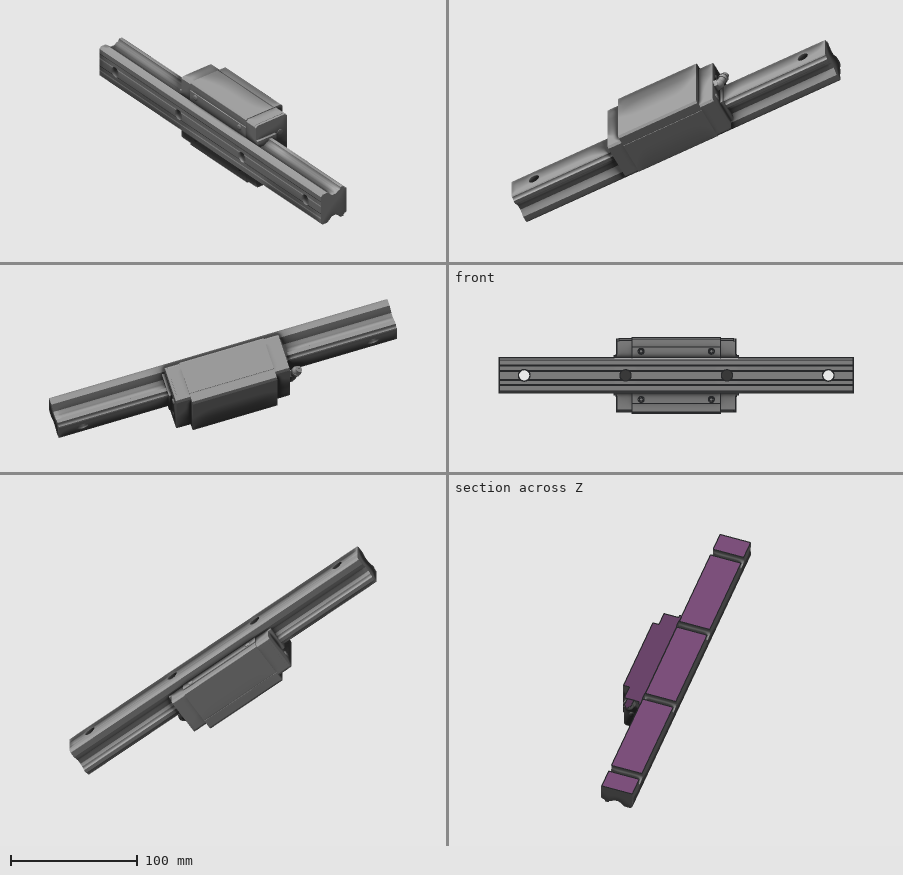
import cadquery as cq
import math


RAIL_LENGTH = 280.0
RAIL_HALF_WIDTH = 14.0
RAIL_HEIGHT = 26.0
BASE_CHAMFER = 1.7
BASE_SIDE_TOP = 6.5
NECK_BOTTOM = 11.2
NECK_TOP = 15.0
NECK_HALF_WIDTH = 9.8
RACEWAY_RADIUS = 2.5
LAND_BOTTOM = 20.0
LAND_TOP = 22.7
CROWN_CHAMFER = 0.7
HOLE_DIAMETER = 9.0
HOLE_PITCH = 80.0
HOLE_COUNT = 4
GROOVE_CENTER = 5.5
GROOVE_MOUTH = 5.0
GROOVE_FLOOR = 3.5
GROOVE_DEPTH = 0.3

BLOCK_LENGTH = 70.0
BLOCK_HALF_WIDTH = 30.0
BLOCK_TOP = 45.0
BLOCK_BOTTOM = 8.5
BLOCK_TOP_CHAMFER = 1.7
BLOCK_BOTTOM_CHAMFER = 1.0
SIDE_GROOVE_Y = 36.0
SIDE_GROOVE_WIDTH = 0.8
SIDE_GROOVE_DEPTH = 0.5
PAD_HALF_WIDTH = 22.5
PAD_BOTTOM = 7.5

CAP_END = 45.0
PLATE_END = 47.0
SEAL_END = 49.3
CAP_HALF_WIDTH = 29.0
CAP_TOP = 40.0
CAP_BOTTOM = 8.7
CAP_CHAMFER = 1.7
PLATE_INSET = 0.3
SEAL_HALF_WIDTH = 15.7
SEAL_TOP = 27.7

PAD_SCREW_X = 27.7
PAD_SCREW_Z = 19.0
PAD_SCREW_DIAMETER = 4.8
PAD_SCREW_HEIGHT = 0.8
END_SCREW_Y = 33.0
END_SCREW_Z = 14.0
END_SCREW_DIAMETER = 5.3
END_SCREW_HEIGHT = 0.8
SCREW_BEVEL_HEIGHT = 0.42
SCREW_BEVEL_WIDTH = 0.98

NIPPLE_Y = 34.7
NIPPLE_HEX_ACROSS_CORNERS = 9.8
NIPPLE_HEX_HEIGHT = 3.0
NIPPLE_TILT = 60.0
NIPPLE_ELBOW_RADIUS = 4.0
NIPPLE_STEM_RADIUS = 3.0
NIPPLE_COLLAR_RADIUS = 4.0
NIPPLE_COLLAR_START = 5.5
NIPPLE_COLLAR_END = 7.5
NIPPLE_CONE_START = 8.7
NIPPLE_CONE_END = 11.0
NIPPLE_TIP_RADIUS = 2.8
NIPPLE_LENGTH = 11.8
NIPPLE_PORT_DIAMETER = 2.0
NIPPLE_PORT_DEPTH = 0.8


def extrude_along_x(outline, length):
    """Extrude a closed YZ outline symmetrically about the middle of the guide."""
    return outline.extrude(length / 2, both=True)


def chamfered_box(length, half_width, bottom, top, bottom_chamfer, top_chamfer):
    """Box along X, centred on X and Z, with its long edges chamfered."""
    box = cq.Workplane("XY").box(length, top - bottom, 2 * half_width)
    box = box.translate((0, (top + bottom) / 2, 0))
    if bottom_chamfer:
        box = box.edges("|X and <Y").chamfer(bottom_chamfer)
    if top_chamfer:
        box = box.edges("|X and >Y").chamfer(top_chamfer)
    return box


def rail_profile():
    """Rail section: two concave raceways on each side above a waisted neck."""
    shoulder = RAIL_HALF_WIDTH - RACEWAY_RADIUS
    arc_offset = RACEWAY_RADIUS * math.sqrt(0.5)
    lower_arc_start = LAND_BOTTOM - RACEWAY_RADIUS
    upper_arc_end = LAND_TOP + RACEWAY_RADIUS
    return (
        cq.Workplane("YZ")
        .moveTo(0, 0)
        .lineTo(0, RAIL_HALF_WIDTH - BASE_CHAMFER)
        .lineTo(BASE_CHAMFER, RAIL_HALF_WIDTH)
        .lineTo(BASE_SIDE_TOP, RAIL_HALF_WIDTH)
        .lineTo(NECK_BOTTOM, NECK_HALF_WIDTH)
        .lineTo(NECK_TOP, NECK_HALF_WIDTH)
        .lineTo(lower_arc_start, shoulder)
        .threePointArc(
            (lower_arc_start + arc_offset, RAIL_HALF_WIDTH - arc_offset),
            (LAND_BOTTOM, RAIL_HALF_WIDTH),
        )
        .lineTo(LAND_TOP, RAIL_HALF_WIDTH)
        .threePointArc(
            (upper_arc_end - arc_offset, RAIL_HALF_WIDTH - arc_offset),
            (upper_arc_end, shoulder),
        )
        .lineTo(RAIL_HEIGHT - CROWN_CHAMFER, shoulder)
        .lineTo(RAIL_HEIGHT, shoulder - CROWN_CHAMFER)
        .lineTo(RAIL_HEIGHT, 0)
        .mirrorX()
    )


def rail_blank():
    """Rail before its holes and grooves are cut."""
    return extrude_along_x(rail_profile(), RAIL_LENGTH)


def base_groove(side):
    """Shallow tapered groove along the mounting face, on one side of the hole row."""
    center = side * GROOVE_CENTER
    outline = cq.Workplane("YZ").polyline(
        [
            (0, center - GROOVE_MOUTH / 2),
            (GROOVE_DEPTH, center - GROOVE_FLOOR / 2),
            (GROOVE_DEPTH, center + GROOVE_FLOOR / 2),
            (0, center + GROOVE_MOUTH / 2),
        ]
    ).close()
    return extrude_along_x(outline, RAIL_LENGTH)


def make_rail():
    rail = rail_blank()
    for side in (-1, 1):
        rail = rail.cut(base_groove(side))
    holes = (
        cq.Workplane("XZ")
        .rarray(HOLE_PITCH, 2.8, HOLE_COUNT, 1)
        .circle(HOLE_DIAMETER / 2)
        .extrude(-RAIL_HEIGHT)
    )
    return rail.cut(holes)


def screw_head(diameter, height):
    """Flat-topped screw head standing on Z = 0, bevelled around its top."""
    head = cq.Workplane("XY").circle(diameter / 2).extrude(height)
    return head.faces(">Z").chamfer(SCREW_BEVEL_HEIGHT, SCREW_BEVEL_WIDTH)


def carriage_block():
    """Steel block with a fine groove along each flank and a raised pad along its underside."""
    block = chamfered_box(
        BLOCK_LENGTH, BLOCK_HALF_WIDTH,
        BLOCK_BOTTOM, BLOCK_TOP, BLOCK_BOTTOM_CHAMFER, BLOCK_TOP_CHAMFER,
    )
    groove = cq.Workplane("XY").box(BLOCK_LENGTH, SIDE_GROOVE_WIDTH, 2 * SIDE_GROOVE_DEPTH)
    for side in (-1, 1):
        block = block.cut(groove.translate((0, SIDE_GROOVE_Y, side * BLOCK_HALF_WIDTH)))
    pad = chamfered_box(BLOCK_LENGTH, PAD_HALF_WIDTH, PAD_BOTTOM, BLOCK_BOTTOM, 0, 0)
    return block.union(pad)


def carriage_ends():
    """End caps, the slightly narrower plates on them and the seals around the rail."""
    caps = chamfered_box(
        2 * CAP_END, CAP_HALF_WIDTH, CAP_BOTTOM, CAP_TOP, CAP_CHAMFER, CAP_CHAMFER
    )
    plates = chamfered_box(
        2 * PLATE_END, CAP_HALF_WIDTH - PLATE_INSET,
        CAP_BOTTOM, CAP_TOP, CAP_CHAMFER, CAP_CHAMFER,
    )
    seals = chamfered_box(2 * SEAL_END, SEAL_HALF_WIDTH, CAP_BOTTOM, SEAL_TOP, 0, 0)
    return caps.union(plates).union(seals)


def make_carriage():
    carriage = carriage_block().union(carriage_ends())

    pad_head = screw_head(PAD_SCREW_DIAMETER, PAD_SCREW_HEIGHT)
    pad_head = pad_head.rotate((0, 0, 0), (1, 0, 0), 90)
    end_head = screw_head(END_SCREW_DIAMETER, END_SCREW_HEIGHT)
    for end in (-1, 1):
        outward_head = end_head.rotate((0, 0, 0), (0, 1, 0), 90 * end)
        for side in (-1, 1):
            carriage = carriage.union(
                pad_head.translate((end * PAD_SCREW_X, PAD_BOTTOM, side * PAD_SCREW_Z))
            )
            carriage = carriage.union(
                outward_head.translate((end * PLATE_END, END_SCREW_Y, side * END_SCREW_Z))
            )
    return carriage.cut(rail_blank())


def make_nipple():
    """Hexagonal foot with a turned body that leaves its ball elbow tilted towards +Z."""
    foot = (
        cq.Workplane("XY")
        .polygon(6, NIPPLE_HEX_ACROSS_CORNERS)
        .extrude(NIPPLE_HEX_HEIGHT)
        .rotate((0, 0, 0), (0, 0, 1), 90)
    )
    shoulder = math.sqrt(NIPPLE_ELBOW_RADIUS**2 - NIPPLE_STEM_RADIUS**2)
    body = (
        cq.Workplane("XZ")
        .moveTo(0, -NIPPLE_ELBOW_RADIUS)
        .threePointArc((NIPPLE_ELBOW_RADIUS, 0), (NIPPLE_STEM_RADIUS, shoulder))
        .lineTo(NIPPLE_STEM_RADIUS, NIPPLE_COLLAR_START)
        .lineTo(NIPPLE_COLLAR_RADIUS, NIPPLE_COLLAR_START)
        .lineTo(NIPPLE_COLLAR_RADIUS, NIPPLE_COLLAR_END)
        .lineTo(NIPPLE_STEM_RADIUS, NIPPLE_COLLAR_END)
        .lineTo(NIPPLE_STEM_RADIUS, NIPPLE_CONE_START)
        .lineTo(NIPPLE_COLLAR_RADIUS, NIPPLE_CONE_START)
        .lineTo(NIPPLE_TIP_RADIUS, NIPPLE_CONE_END)
        .lineTo(NIPPLE_TIP_RADIUS, NIPPLE_LENGTH)
        .lineTo(0, NIPPLE_LENGTH)
        .close()
        .revolve(360, (0, 0, 0), (0, 1, 0))
        .faces(">Z")
        .workplane()
        .hole(NIPPLE_PORT_DIAMETER, NIPPLE_PORT_DEPTH)
        .rotate((0, 0, 0), (0, 1, 0), NIPPLE_TILT)
        .translate((0, 0, NIPPLE_HEX_HEIGHT))
    )
    below_foot = (
        cq.Workplane("XY")
        .rect(NIPPLE_HEX_ACROSS_CORNERS, NIPPLE_HEX_ACROSS_CORNERS)
        .extrude(-NIPPLE_ELBOW_RADIUS)
    )
    nipple = foot.union(body.cut(below_foot))
    return nipple.rotate((0, 0, 0), (0, 1, 0), -90).translate((-PLATE_END, NIPPLE_Y, 0))


rail = make_rail()
carriage = make_carriage()
nipple = make_nipple()

result = cq.Compound.makeCompound(
    [*rail.solids().vals(), *carriage.solids().vals(), *nipple.solids().vals()]
)